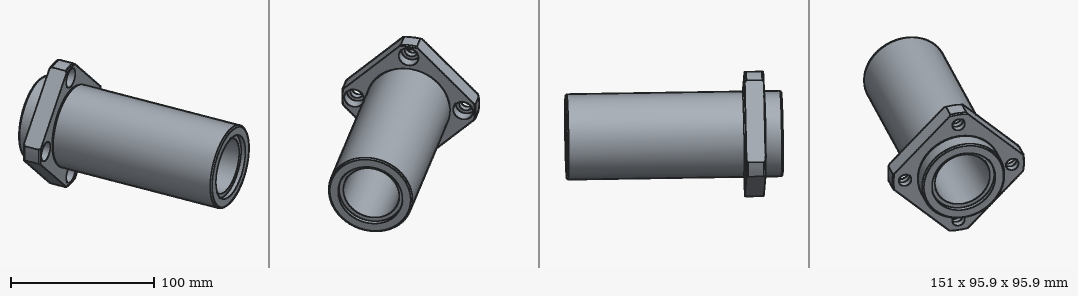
import cadquery as cq

length = 151.0
body_diameter = 60.0
bore_diameter = 40.0
end_chamfer = 1.0

recess_diameter = 46.0
recess_depth = 3.3

flange_start = 12.8
flange_thickness = 13.3
flange_end = flange_start + flange_thickness
flange_diameter = 95.9
flange_square = 75.5
flange_chamfer_length = 1.2
flange_chamfer_drop = 0.8

groove_width = 0.8
groove_depth = 0.2
v_groove_width = 1.2
v_groove_depth = 0.8

hole_count = 4
hole_circle_radius = 39.0
hole_diameter = 9.0
counterbore_diameter = 14.0
counterbore_depth = 8.2


def cylinder(diameter, start, thickness):
    """Solid cylinder on the X axis."""
    return cq.Workplane("YZ", origin=(start, 0, 0)).circle(diameter / 2).extrude(thickness)


def make_flange():
    """Square plate whose four corners lie on a chamfered disc."""
    radius = flange_diameter / 2
    chamfer_radius = radius - flange_chamfer_drop
    disc = (
        cq.Workplane("XY")
        .moveTo(flange_start, 0)
        .lineTo(flange_start, chamfer_radius)
        .lineTo(flange_start + flange_chamfer_length, radius)
        .lineTo(flange_end - flange_chamfer_length, radius)
        .lineTo(flange_end, chamfer_radius)
        .lineTo(flange_end, 0)
        .close()
        .revolve(360, (0, 0, 0), (1, 0, 0))
    )
    square = (
        cq.Workplane("YZ", origin=(flange_start, 0, 0))
        .transformed(rotate=(0, 0, 45))
        .rect(flange_square, flange_square)
        .extrude(flange_thickness)
    )
    return disc.intersect(square)


def make_body():
    """Chamfered sleeve with a groove on each side of the flange."""
    radius = body_diameter / 2
    groove_radius = radius - groove_depth
    groove_start = flange_start - groove_width
    return (
        cq.Workplane("XY")
        .lineTo(0, radius - end_chamfer)
        .lineTo(end_chamfer, radius)
        .lineTo(groove_start, radius)
        .lineTo(groove_start, groove_radius)
        .lineTo(flange_end, groove_radius)
        .lineTo(flange_end, radius - v_groove_depth)
        .lineTo(flange_end + v_groove_width, radius)
        .lineTo(length - end_chamfer, radius)
        .lineTo(length, radius - end_chamfer)
        .lineTo(length, 0)
        .close()
        .revolve(360, (0, 0, 0), (1, 0, 0))
    )


def make_holes(diameter, start, depth):
    return (
        cq.Workplane("YZ", origin=(start, 0, 0))
        .polarArray(hole_circle_radius, 0, 360, hole_count)
        .circle(diameter / 2)
        .extrude(depth)
    )


result = make_body().union(make_flange())
result = result.cut(cylinder(bore_diameter, 0, length))
for recess_start in (0, length - recess_depth):
    result = result.cut(cylinder(recess_diameter, recess_start, recess_depth))

result = result.cut(make_holes(hole_diameter, flange_start, flange_thickness))
result = result.cut(
    make_holes(counterbore_diameter, flange_end - counterbore_depth, counterbore_depth)
)